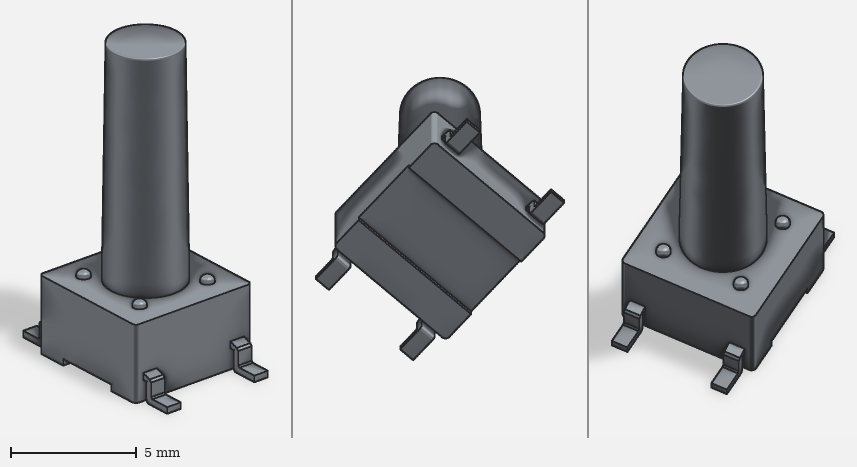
import cadquery as cq

body_side = 6.0
body_height = 3.47
corner_radius = 0.2
notch_width = 3.0
notch_height = 0.3

total_height = 14.0
collar_diameter = 3.5
collar_top = 4.0
plunger_top_diameter = 3.2
plunger_edge_radius = 0.1

rivet_diameter = 0.6
rivet_height = 0.28
rivet_edge_radius = 0.24
rivet_spacing = 3.5

lead_span = 9.0
lead_width = 0.7
lead_spacing = 4.5
lead_thickness = 0.3
riser_outer_x = 3.5
root_top = 1.25
root_underside = 0.94
shoulder_top = 1.1
shoulder_width = 0.1
shoulder_drop = 0.1
heel_radius = 0.15
instep_chamfer = 0.07


def make_body():
    """Square housing with rounded vertical edges and a channel along Y underneath."""
    block = cq.Workplane("XY").box(body_side, body_side, body_height, centered=(True, True, False))
    block = block.edges("|Z").fillet(corner_radius)
    channel = cq.Workplane("XY").box(notch_width, body_side, notch_height, centered=(True, True, False))
    return block.cut(channel)


def make_plunger():
    """Straight collar carrying a tapered shaft with a rounded top edge."""
    collar_radius = collar_diameter / 2
    shaft = (
        cq.Workplane("XZ")
        .moveTo(0, body_height)
        .lineTo(collar_radius, body_height)
        .lineTo(collar_radius, collar_top)
        .lineTo(plunger_top_diameter / 2, total_height)
        .lineTo(0, total_height)
        .close()
        .revolve(360, (0, 0, 0), (0, 1, 0))
    )
    return shaft.faces(">Z").edges().fillet(plunger_edge_radius)


def make_rivets():
    """Four domed heads on the top of the housing."""
    return (
        cq.Workplane("XY", origin=(0, 0, body_height))
        .rect(rivet_spacing, rivet_spacing, forConstruction=True)
        .vertices()
        .circle(rivet_diameter / 2)
        .extrude(rivet_height)
        .faces(">Z")
        .edges()
        .fillet(rivet_edge_radius)
    )


def make_lead(y_center):
    """Bent lead on the +X side, centred on the given Y."""
    root_x = body_side / 2
    tip_x = lead_span / 2
    riser_inner_x = riser_outer_x - lead_thickness
    heel_x = riser_inner_x + heel_radius
    return (
        cq.Workplane("XZ", origin=(0, y_center, 0))
        .moveTo(root_x, root_underside)
        .lineTo(root_x, root_top)
        .lineTo(riser_outer_x - shoulder_width, shoulder_top)
        .lineTo(riser_outer_x, shoulder_top - shoulder_drop)
        .lineTo(riser_outer_x, lead_thickness + instep_chamfer)
        .lineTo(riser_outer_x + instep_chamfer, lead_thickness)
        .lineTo(tip_x, lead_thickness)
        .lineTo(tip_x, 0)
        .lineTo(heel_x, 0)
        .radiusArc((riser_inner_x, heel_radius), heel_radius)
        .lineTo(riser_inner_x, root_underside)
        .close()
        .extrude(lead_width / 2, both=True)
    )


result = make_body().union(make_plunger()).union(make_rivets())
for y_center in (-lead_spacing / 2, lead_spacing / 2):
    lead = make_lead(y_center)
    result = result.union(lead).union(lead.mirror("YZ"))